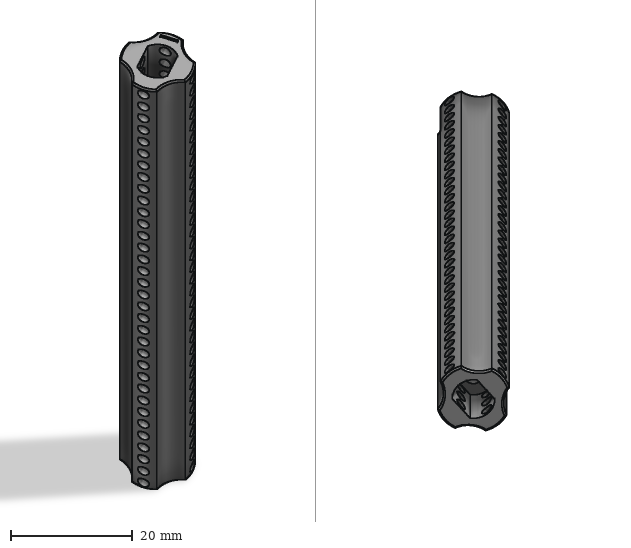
import cadquery as cq
import math

LENGTH = 106.2
OUTER_RADIUS = 6.3
TIP_HALF_WIDTH = 2.2
TIP_CROWN = 0.46
GROOVE_RADIUS = 5.0

END_CHAMFER = 0.3

BORE_RADIUS = 3.5
BORE_HALF_FLAT = 2.7
FLOOR_Z = 11.0
WALL_THICKNESS = 2.0
WALL_CORE_RADIUS = 3.1
WALL_HOLE_DIAMETER = 3.0

HOLE_DIAMETER = 2.0
HOLE_COUNT = 34
HOLE_END_OFFSET = 1.6
HOLE_PITCH = (LENGTH - 2 * HOLE_END_OFFSET) / (HOLE_COUNT - 1)

SLOT_LENGTH = 3.1
SLOT_WIDTH = 0.4
SLOT_DEPTH = 0.3
SLOT_Y = 5.1


def body():
    """Four-armed bar: crowned arm tips joined by concave grooves."""
    tip_edge = OUTER_RADIUS - TIP_CROWN
    groove_mid = GROOVE_RADIUS / math.sqrt(2)

    def turned(x, y, quarter):
        """Point (x, y) turned about the axis by a number of quarter turns."""
        for _ in range(quarter):
            x, y = -y, x
        return (x, y)

    outline = cq.Workplane("XY").moveTo(tip_edge, -TIP_HALF_WIDTH)
    for quarter in range(4):
        outline = outline.threePointArc(
            turned(OUTER_RADIUS, 0, quarter),
            turned(tip_edge, TIP_HALF_WIDTH, quarter),
        )
        outline = outline.threePointArc(
            turned(groove_mid, groove_mid, quarter),
            turned(TIP_HALF_WIDTH, tip_edge, quarter),
        )
    bar = outline.close().extrude(LENGTH)
    return bar.faces("<Z or >Z").edges().chamfer(END_CHAMFER)


def flatted_cylinder(radius, z_start, z_end):
    """Cylinder on the Z axis with two flats facing +X and -X."""
    height = z_end - z_start
    plane = cq.Workplane("XY").workplane(offset=z_start)
    flats = plane.rect(2 * BORE_HALF_FLAT, 2 * radius).extrude(height)
    return plane.circle(radius).extrude(height).intersect(flats)


def cross_holes(plane_name):
    """Row of cross holes along Z, cut through both opposite arms."""
    row = [(0, HOLE_END_OFFSET + i * HOLE_PITCH) for i in range(HOLE_COUNT)]
    return (
        cq.Workplane(plane_name)
        .pushPoints(row)
        .circle(HOLE_DIAMETER / 2)
        .extrude(OUTER_RADIUS, both=True)
    )


wall_bottom = FLOOR_Z - WALL_THICKNESS
upper_socket = flatted_cylinder(BORE_RADIUS, FLOOR_Z, LENGTH)
lower_socket = flatted_cylinder(BORE_RADIUS, 0, wall_bottom)

wall_core = flatted_cylinder(WALL_CORE_RADIUS, wall_bottom, FLOOR_Z)
wall_hole = cq.Workplane("XY").circle(WALL_HOLE_DIAMETER / 2).extrude(LENGTH)

index_slot = (
    cq.Workplane("XY")
    .workplane(offset=LENGTH - SLOT_DEPTH)
    .center(0, SLOT_Y)
    .rect(SLOT_LENGTH, SLOT_WIDTH)
    .extrude(SLOT_DEPTH)
)

result = (
    body()
    .cut(upper_socket)
    .cut(lower_socket)
    .cut(cross_holes("XZ").cut(wall_core))
    .cut(cross_holes("YZ").cut(wall_core))
    .cut(wall_hole)
    .cut(index_slot)
)